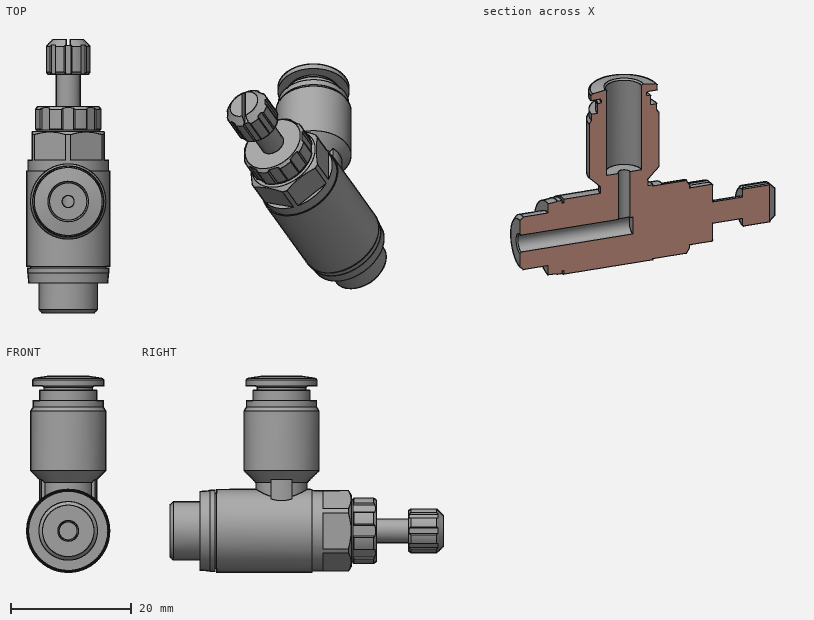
import cadquery as cq
import math


OVERALL_LENGTH = 45.45
OVERALL_HEIGHT = 32.6

PORT_END = -18.55
COLLAR_FRONT = -13.55
SEAL_RING_FRONT = -11.85
SEAL_GROOVE_FRONT = -11.05
BODY_FRONT = -10.75
BODY_BACK = 5.1
HEX_FRONT = 6.85
HEX_BACK = 11.65
LOCK_RING_FRONT = 11.85
LOCK_RING_BACK = 15.75
KNOB_FRONT = 21.05
KNOB_BACK = PORT_END + OVERALL_LENGTH

PORT_DIA = 9.73
PORT_CHAMFER = 0.6
COLLAR_FRONT_DIA = 13.15
COLLAR_BACK_DIA = 13.4
SEAL_RING_DIA = 13.5
SEAL_GROOVE_DIA = 12.5
BODY_DIA = 13.8
SHOULDER_DIA = 13.4
LOCK_NECK_DIA = 10.4
STEM_DIA = 4.0

HEX_FLATS = 12.0
HEX_CORNER_DIA = SHOULDER_DIA
HEX_FACE_DIA = 11.7
HEX_CHAMFER_LENGTH = 0.55

FLUTE_COUNT = 8
LOCK_RING_DIA = 11.15
LOCK_RING_BACK_CHAMFER = 0.5
LOCK_RING_FRONT_CHAMFER = 0.2
LOCK_FLUTE_FLOOR = 1.73
LOCK_FLUTE_OPENING = 2.5
LOCK_FLUTE_DEPTH = 0.3
KNOB_DIA = 7.4
KNOB_BACK_CHAMFER = 1.2
KNOB_FRONT_CHAMFER = 0.4
KNOB_FLUTE_FLOOR = 0.9
KNOB_FLUTE_OPENING = 1.45
KNOB_FLUTE_DEPTH = 0.25
SCREWDRIVER_SLOT_WIDTH = 0.65
SCREWDRIVER_SLOT_DEPTH = 1.0

BRANCH_NECK_TOP = 8.0
BARREL_BOTTOM = 10.0
BARREL_TOP = 19.85
STEP_BOTTOM = 20.55
STEP_TOP = 21.65
SLEEVE_TOP = 23.4
FLANGE_BOTTOM = 24.05
BRANCH_TOP = OVERALL_HEIGHT - BODY_DIA / 2

BARREL_DIA = 12.5
BRANCH_NECK_DIA = BARREL_DIA - 2 * (BARREL_BOTTOM - BRANCH_NECK_TOP)
STEP_DIA = 11.7
SLEEVE_DIA = 9.5
SLEEVE_CHAMFER = 0.15
RELEASE_NECK_DIA = 8.1
RELEASE_NECK_FLARE = 0.23
FLANGE_DIA = 11.8
FLANGE_CHAMFER = 0.25
FLANGE_DISH = 0.35

RIB_DIA = 9.5
RIB_WIDTH = 3.55

TUBE_BORE_DIA = 6.2
TUBE_BORE_FLOOR = BARREL_BOTTOM
TUBE_BORE_CHAMFER = 0.25
CROSS_HOLE_DIA = 2.0
PORT_BORE_DIA = 3.0
PORT_BORE_END = PORT_BORE_DIA / 2
PORT_BORE_CHAMFER = 0.23


def turned_on_y(profile):
    """Solid of revolution about Y from (diameter, y) points; the axis closes it."""
    points = [(diameter / 2, y) for diameter, y in profile]
    outline = [(0, points[0][1])] + points + [(0, points[-1][1])]
    return cq.Workplane("XY").polyline(outline).close().revolve(360, (0, 0, 0), (0, 1, 0))


def turned_on_z(profile):
    """Solid of revolution about Z from (diameter, z) points; the axis closes it."""
    points = [(diameter / 2, z) for diameter, z in profile]
    outline = [(0, points[0][1])] + points + [(0, points[-1][1])]
    return cq.Workplane("XZ").polyline(outline).close().revolve(360, (0, 0, 0), (0, 1, 0))


def along_y(start):
    """Sketch plane at the given Y that extrudes towards +Y."""
    return cq.Workplane(cq.Plane(origin=(0, start, 0), xDir=(0, 0, 1), normal=(0, 1, 0)))


def make_body():
    return turned_on_y([
        (PORT_DIA - 2 * PORT_CHAMFER, PORT_END),
        (PORT_DIA, PORT_END + PORT_CHAMFER),
        (PORT_DIA, COLLAR_FRONT),
        (COLLAR_FRONT_DIA, COLLAR_FRONT),
        (COLLAR_BACK_DIA, SEAL_RING_FRONT),
        (SEAL_RING_DIA, SEAL_RING_FRONT),
        (SEAL_RING_DIA, SEAL_GROOVE_FRONT),
        (SEAL_GROOVE_DIA, SEAL_GROOVE_FRONT),
        (SEAL_GROOVE_DIA, BODY_FRONT),
        (BODY_DIA, BODY_FRONT),
        (BODY_DIA, BODY_BACK),
        (SHOULDER_DIA, BODY_BACK),
        (SHOULDER_DIA, HEX_FRONT),
        (LOCK_NECK_DIA, HEX_FRONT),
        (LOCK_NECK_DIA, LOCK_RING_FRONT),
        (STEM_DIA, LOCK_RING_FRONT),
        (STEM_DIA, KNOB_FRONT),
    ])


def make_hexagon():
    corner_distance = HEX_FLATS / math.cos(math.radians(30))
    prism = along_y(HEX_FRONT).polygon(6, corner_distance).extrude(HEX_BACK - HEX_FRONT)
    corner_envelope = turned_on_y([
        (HEX_CORNER_DIA, HEX_FRONT),
        (HEX_CORNER_DIA, HEX_BACK - HEX_CHAMFER_LENGTH),
        (HEX_FACE_DIA, HEX_BACK),
    ])
    return prism.intersect(corner_envelope)


def make_fluted_grip(diameter, front, back, front_chamfer, back_chamfer, floor, opening, depth):
    """Chamfered cylinder with evenly spaced trapezoidal flutes along its whole length."""
    grip = turned_on_y([
        (diameter - 2 * front_chamfer, front),
        (diameter, front + front_chamfer),
        (diameter, back - back_chamfer),
        (diameter - 2 * back_chamfer, back),
    ])
    radius = diameter / 2
    flute = along_y(front).polyline([
        (radius - depth, -floor / 2),
        (radius + depth, floor / 2 - opening),
        (radius + depth, opening - floor / 2),
        (radius - depth, floor / 2),
    ]).close().extrude(back - front)
    for index in range(FLUTE_COUNT):
        grip = grip.cut(flute.rotate((0, 0, 0), (0, 1, 0), index * 360 / FLUTE_COUNT))
    return grip


def make_lock_ring():
    return make_fluted_grip(
        LOCK_RING_DIA, LOCK_RING_FRONT, LOCK_RING_BACK, LOCK_RING_FRONT_CHAMFER, LOCK_RING_BACK_CHAMFER,
        LOCK_FLUTE_FLOOR, LOCK_FLUTE_OPENING, LOCK_FLUTE_DEPTH,
    )


def make_knob():
    knob = make_fluted_grip(
        KNOB_DIA, KNOB_FRONT, KNOB_BACK, KNOB_FRONT_CHAMFER, KNOB_BACK_CHAMFER,
        KNOB_FLUTE_FLOOR, KNOB_FLUTE_OPENING, KNOB_FLUTE_DEPTH,
    )
    slot = along_y(KNOB_BACK - SCREWDRIVER_SLOT_DEPTH).rect(KNOB_DIA, SCREWDRIVER_SLOT_WIDTH)
    return knob.cut(slot.extrude(SCREWDRIVER_SLOT_DEPTH))


def make_branch():
    flange_rim = BRANCH_TOP - FLANGE_DISH
    return turned_on_z([
        (BRANCH_NECK_DIA, 0),
        (BRANCH_NECK_DIA, BRANCH_NECK_TOP),
        (BARREL_DIA, BARREL_BOTTOM),
        (BARREL_DIA, BARREL_TOP),
        (STEP_DIA, STEP_BOTTOM),
        (STEP_DIA, STEP_TOP),
        (SLEEVE_DIA, STEP_TOP),
        (SLEEVE_DIA, SLEEVE_TOP - SLEEVE_CHAMFER),
        (SLEEVE_DIA - 2 * SLEEVE_CHAMFER, SLEEVE_TOP),
        (RELEASE_NECK_DIA, SLEEVE_TOP),
        (RELEASE_NECK_DIA, FLANGE_BOTTOM - RELEASE_NECK_FLARE),
        (RELEASE_NECK_DIA + 2 * RELEASE_NECK_FLARE, FLANGE_BOTTOM),
        (FLANGE_DIA, FLANGE_BOTTOM),
        (FLANGE_DIA, flange_rim - FLANGE_CHAMFER),
        (FLANGE_DIA - 2 * FLANGE_CHAMFER, flange_rim),
        (TUBE_BORE_DIA + 2 * TUBE_BORE_CHAMFER, BRANCH_TOP),
    ])


def make_ribs():
    """Round-faced ribs on both X sides of the branch neck, between body and barrel."""
    column = cq.Workplane("XY").circle(RIB_DIA / 2).extrude(BARREL_BOTTOM)
    band = cq.Workplane("XY").rect(RIB_DIA, RIB_WIDTH).extrude(BARREL_BOTTOM)
    return column.intersect(band)


def make_tube_bore():
    bore = turned_on_z([
        (TUBE_BORE_DIA, TUBE_BORE_FLOOR),
        (TUBE_BORE_DIA, BRANCH_TOP - TUBE_BORE_CHAMFER),
        (TUBE_BORE_DIA + 2 * TUBE_BORE_CHAMFER, BRANCH_TOP),
    ])
    cross_hole = cq.Workplane("XY").circle(CROSS_HOLE_DIA / 2).extrude(TUBE_BORE_FLOOR)
    return bore.union(cross_hole)


def make_port_bore():
    return turned_on_y([
        (PORT_BORE_DIA + 2 * PORT_BORE_CHAMFER, PORT_END),
        (PORT_BORE_DIA, PORT_END + PORT_BORE_CHAMFER),
        (PORT_BORE_DIA, PORT_BORE_END),
    ])


valve = make_body().union(make_hexagon()).union(make_lock_ring()).union(make_knob())
valve = valve.union(make_branch()).union(make_ribs())
result = valve.cut(make_tube_bore()).cut(make_port_bore())